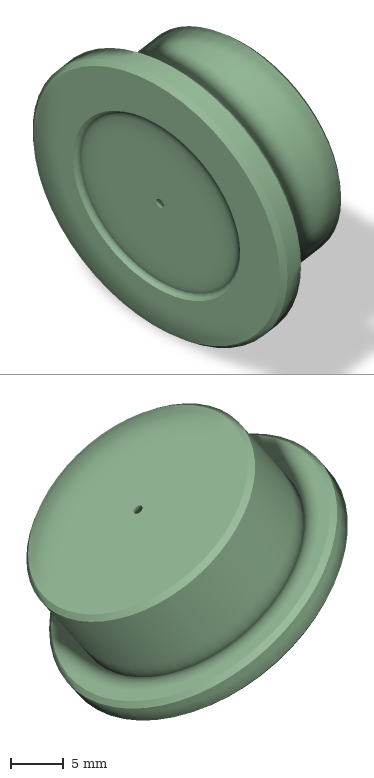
import cadquery as cq

flange_diameter = 32.0
flange_thickness = 3.0
boss_diameter = 25.4
total_depth = 12.7
edge_chamfer = 0.5
recess_floor_diameter = 20.0
recess_depth = 0.5
hole_diameter = 1.0


def chamfered_flange():
    """Disc with its front face at Y = 0 and both rims chamfered."""
    disc = cq.Workplane("XZ").circle(flange_diameter / 2).extrude(-flange_thickness)
    return disc.edges().chamfer(edge_chamfer)


def chamfered_boss():
    """Cylinder reaching back from the front face, with its rear rim chamfered."""
    cylinder = cq.Workplane("XZ").circle(boss_diameter / 2).extrude(-total_depth)
    return cylinder.faces(">Y").edges().chamfer(edge_chamfer)


def front_recess():
    """Shallow recess cutter whose 45 degree wall narrows to a flat floor."""
    mouth_radius = recess_floor_diameter / 2 + recess_depth
    return cq.Workplane("XZ").circle(mouth_radius).extrude(-recess_depth, taper=45)


def center_hole():
    """Cutter for the small hole through the full depth on the axis."""
    return cq.Workplane("XZ").circle(hole_diameter / 2).extrude(-total_depth)


body = chamfered_flange().union(chamfered_boss())
result = body.cut(front_recess()).cut(center_hole())